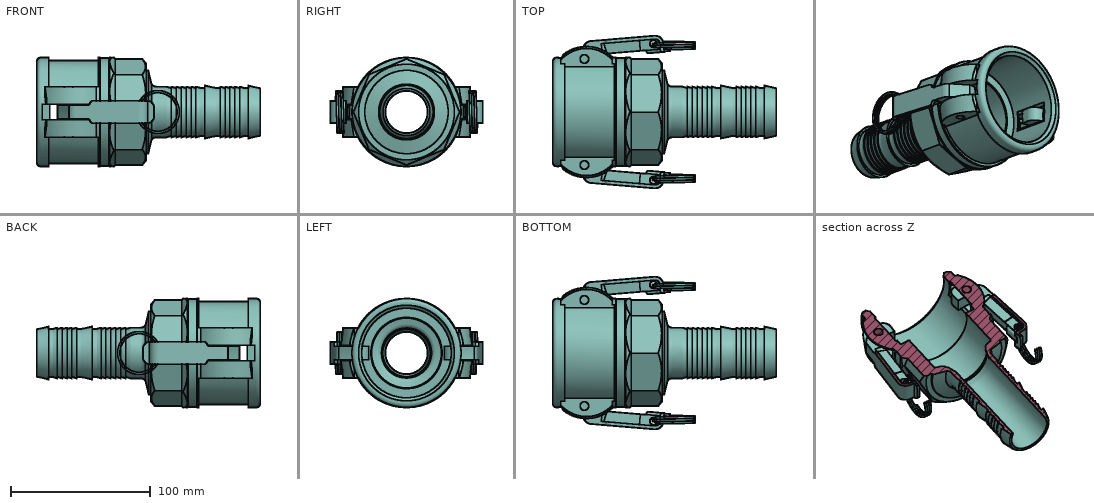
import cadquery as cq
import math


length = 160.0
collar_radius = 39.0
body_radius = 37.0

lip_end = 8.8
lip_round = 3.0
mouth_radius = 34.2
bore_radius = 32.0
bore_depth = 41.6
throat_radius = 25.0
throat_chamfer = 0.56
throat_end = 74.4
funnel_end = 75.7
funnel_radius = 20.5
funnel_round = 4.0
hose_entry = [(78.9, 18.0), (79.7, 17.0), (83.2, 16.0)]
hose_bore_start = 86.4

collar_start = 44.2
groove_start = 45.1
groove_end = 52.2
groove_radius = 38.7
groove_slope = 0.5
octagon_start = 56.3
octagon_end = 78.5
octagon_corner_radius = 38.0
octagon_end_chamfer = 3.0
octagon_end_radius = 34.2

flange_radius = 29.84
flange_end = 79.8
neck_start = 82.2
neck_radius = 20.0
neck_end = 85.5
neck_round = 3.8
shank_radius = 18.2
root_radius = 17.3
hose_bore_radius = 15.0
small_barb_pitch = 3.5
small_barb_length = 3.0
small_barb_groups = [(92.8, 7), (131.2, 5)]
large_barb_radius = 19.0
mid_barb_start = 120.2
mid_barb_end = 128.5
tip_barb_start = 151.4
tip_barb_end = 159.0
tip_radius = 16.8

ear_half_height = 18.0
ear_start = 6.0
ear_end = 42.5
ear_cut_y = 37.5
ear_cut_end = (7.2, 40.2)
ear_center_y = 20.3
ear_peak_y = 47.5
ear_taper = 6.6
slot_half_height = 5.5
slot_start = 4.2
slot_floor_y = 33.0
window_start = 9.5
window_end = 37.3
window_flare = 4.8

pin_x = 22.7
pin_y = 38.0
pin_diameter = 6.0

arm_tilt = 4.8
neck_half_height = 5.0
plate_half_height = 8.0
plate_outer_v = 12.5
plate_thickness = 2.5
widening_start = 14.4
widening_length = 4.2
web_inner_v = 2.4
web_half_outer = 4.2
web_half_inner = 3.5
hole_pad_start_u = 40.3
hole_pad_half_outer = 4.5
hole_pad_half_inner = 3.7
bend_center_u = 51.2
bend_radius = 6.0
nose_start_u = 0.3
nose_v = 9.3
nose_end_u = 5.3
nose_radius = 6.4
cam_left_u = -8.0
cam_right_u = 4.2
cam_inner_v = -10.9
cam_radius = 6.4
cam_top_v = -1.3
thick_end_u = 13.0
thick_slope_end_u = 16.3
tongue_end_u = 61.6
tongue_thickness = 2.0
tongue_corner = 4.8
bead_start_u = 44.5
bead_depth = 2.2
bead_half_width = 3.5
bead_round = 2.0
scallop_radius = 32.0
scallop_depth = 0.4
scallop_overrun = 1.6
ring_hole_diameter = 5.0
ring_hole_u = 50.0
ring_hole_v = 6.64

wire_diameter = 1.6
ring_outer_diameter = 30.7
ring_center_x = 86.7
ring_inner_y = 45.3
ring_pitch = 1.8
ring_turns = 2.7
ring_start_angle = 108.0


def box(x0, x1, y0, y1, z0, z1):
    return cq.Workplane("XY").box(x1 - x0, y1 - y0, z1 - z0, centered=False).translate((x0, y0, z0))


def revolve_about_x(profile):
    return profile.close().revolve(360, (0, 0, 0), (1, 0, 0))


def socket_and_collar():
    profile = (
        cq.Workplane("XY")
        .lineTo(0, collar_radius - lip_round)
        .radiusArc((lip_round, collar_radius), lip_round)
        .lineTo(lip_end, collar_radius)
        .lineTo(lip_end, body_radius)
        .lineTo(collar_start, body_radius)
        .lineTo(collar_start, collar_radius)
        .lineTo(groove_start, collar_radius)
        .lineTo(groove_start + groove_slope, groove_radius)
        .lineTo(groove_end - groove_slope, groove_radius)
        .lineTo(groove_end, collar_radius)
        .lineTo(octagon_start, collar_radius)
        .lineTo(octagon_start, 0)
    )
    return revolve_about_x(profile)


def octagon(start, end, corner_radius, taper=0):
    prism = (
        cq.Workplane("YZ")
        .polygon(8, 2 * corner_radius)
        .extrude(end - start, taper=taper)
    )
    return prism.translate((start, 0, 0))


def octagon_with_chamfers():
    prism = octagon(octagon_start, octagon_end, octagon_corner_radius)
    limit = (
        cq.Workplane("XY")
        .moveTo(octagon_start, 0)
        .lineTo(octagon_start, octagon_corner_radius)
        .lineTo(octagon_end - octagon_end_chamfer, octagon_corner_radius)
        .lineTo(octagon_end, octagon_end_radius)
        .lineTo(octagon_end, 0)
    )
    return prism.intersect(revolve_about_x(limit))


def collar_flats():
    """Octagonal cone that bevels the collar down to the octagon's flats at 45 degrees."""
    mouth_corner_radius = octagon_corner_radius + octagon_start / math.cos(math.pi / 8)
    return octagon(0, octagon_start, mouth_corner_radius, taper=45)


def hose_shank():
    profile = (
        cq.Workplane("XY")
        .moveTo(octagon_end, 0)
        .lineTo(octagon_end, flange_radius)
        .lineTo(flange_end, flange_radius)
        .lineTo(neck_start, neck_radius)
        .radiusArc((neck_end, shank_radius), -neck_round)
    )
    first_start, first_count = small_barb_groups[0]
    second_start, second_count = small_barb_groups[1]
    profile = small_barbs(profile, first_start, first_count)
    profile = profile.lineTo(mid_barb_start, root_radius).lineTo(mid_barb_start, large_barb_radius)
    profile = profile.lineTo(mid_barb_end, root_radius).lineTo(second_start, root_radius)
    profile = small_barbs(profile, second_start, second_count)
    profile = profile.lineTo(tip_barb_start, root_radius).lineTo(tip_barb_start, large_barb_radius)
    profile = profile.lineTo(tip_barb_end, root_radius).lineTo(length, tip_radius).lineTo(length, 0)
    return revolve_about_x(profile)


def small_barbs(profile, start, count):
    for i in range(count):
        x = start + i * small_barb_pitch
        profile = profile.lineTo(x, shank_radius).lineTo(x + small_barb_length, root_radius)
        if i < count - 1:
            profile = profile.lineTo(x + small_barb_pitch, root_radius)
    return profile


def inner_passage():
    profile = (
        cq.Workplane("XY")
        .lineTo(0, mouth_radius)
        .lineTo(mouth_radius - bore_radius, bore_radius)
        .lineTo(bore_depth, bore_radius)
        .lineTo(bore_depth, throat_radius + throat_chamfer)
        .lineTo(bore_depth + throat_chamfer, throat_radius)
        .lineTo(throat_end, throat_radius)
        .lineTo(funnel_end, funnel_radius)
        .radiusArc(hose_entry[0], -funnel_round)
        .lineTo(*hose_entry[1])
        .lineTo(*hose_entry[2])
        .lineTo(hose_bore_start, hose_bore_radius)
        .lineTo(length, hose_bore_radius)
        .lineTo(length, 0)
    )
    return revolve_about_x(profile)


def ear_pair():
    """Both ears on the +Y side before slotting: a disc tapering away from mid height."""
    center_x = (ear_start + ear_end) / 2
    disc_radius = ear_peak_y - ear_center_y
    upper = cq.Workplane("XY").circle(disc_radius).extrude(ear_half_height, taper=ear_taper)
    disc = upper.union(upper.mirror("XY")).translate((center_x, ear_center_y, 0))
    outline = (
        cq.Workplane("XY")
        .polyline([
            (ear_start, 0),
            (ear_start, ear_cut_y),
            ear_cut_end,
            (ear_cut_end[0], ear_peak_y),
            (ear_end, ear_peak_y),
            (ear_end, 0),
        ])
        .close()
        .extrude(ear_half_height, both=True)
    )
    ear = disc.intersect(outline)
    pad = cq.Workplane("YZ").circle(collar_radius).extrude(collar_start - lip_end).translate((lip_end, 0, 0))
    pad = pad.intersect(box(0, collar_start, 0, collar_radius, -ear_half_height, ear_half_height))
    return ear.union(pad)


def arm_opening():
    """Slot between the ears, the flared window into the bore and the pin hole, on the +Y side."""
    slot = box(slot_start, ear_end, slot_floor_y, ear_peak_y + 1.6, -slot_half_height, slot_half_height)
    inner_y = slot_floor_y - window_flare
    inner_half = slot_half_height + window_flare
    window = (
        cq.Workplane("YZ")
        .polyline([
            (slot_floor_y, -slot_half_height),
            (slot_floor_y, slot_half_height),
            (inner_y, inner_half),
            (inner_y, -inner_half),
        ])
        .close()
        .extrude(window_end - window_start)
        .translate((window_start, 0, 0))
    )
    hole = (
        cq.Workplane("XY")
        .center(pin_x, pin_y)
        .circle(pin_diameter / 2)
        .extrude(ear_half_height, both=True)
    )
    return slot.union(window).union(hole)


def half_turn(shape):
    return shape.rotate((0, 0, 0), (1, 0, 0), 180)


def make_coupler():
    body = socket_and_collar().intersect(collar_flats())
    body = body.union(octagon_with_chamfers()).union(hose_shank())
    ears = ear_pair()
    opening = arm_opening()
    body = body.union(ears).union(half_turn(ears))
    return body.cut(inner_passage()).cut(opening).cut(half_turn(opening))


def arm_plate():
    """Outer plate of the arm, bent inward at the free end, widening from the neck."""
    inner_bend = bend_radius - plate_thickness
    bend_v = plate_outer_v - bend_radius
    bend_outer_u = bend_center_u + bend_radius
    plate_end_v = web_inner_v - tongue_thickness
    strip = (
        cq.Workplane("XY")
        .moveTo(nose_end_u, plate_outer_v)
        .lineTo(bend_center_u, plate_outer_v)
        .radiusArc((bend_outer_u, bend_v), bend_radius)
        .lineTo(bend_outer_u, plate_end_v)
        .lineTo(bend_outer_u - plate_thickness, plate_end_v)
        .lineTo(bend_outer_u - plate_thickness, bend_v)
        .radiusArc((bend_center_u, bend_v + inner_bend), -inner_bend)
        .lineTo(nose_end_u, plate_outer_v - plate_thickness)
        .close()
        .extrude(plate_half_height, both=True)
    )
    mid_u = widening_start + widening_length / 2
    mid_z = (neck_half_height + plate_half_height) / 2
    upper_half = (
        cq.Workplane("XZ")
        .lineTo(0, neck_half_height)
        .lineTo(widening_start, neck_half_height)
        .tangentArcPoint((mid_u, mid_z), relative=False)
        .tangentArcPoint((widening_start + widening_length, plate_half_height), relative=False)
        .lineTo(bend_outer_u, plate_half_height)
        .lineTo(bend_outer_u, 0)
        .close()
        .extrude(-plate_outer_v)
    )
    return strip.intersect(upper_half.union(upper_half.mirror("XY")))


def arm_web(start_u, half_inner, half_outer):
    """Rib under the plate up to the bend, thinning toward its inner edge."""
    outer_v = plate_outer_v - plate_thickness
    end_u = bend_center_u + bend_radius - plate_thickness
    section = [
        (web_inner_v, -half_inner),
        (web_inner_v, half_inner),
        (outer_v, half_outer),
        (outer_v, -half_outer),
    ]
    return cq.Workplane("YZ").polyline(section).close().extrude(end_u - start_u).translate((start_u, 0, 0))


def arm_neck_and_cam():
    """Thick part of the arm: cam lobe around the pivot and the neck up to the plate."""
    outline = (
        cq.Workplane("XY")
        .moveTo(cam_left_u, cam_top_v)
        .lineTo(nose_start_u, nose_v)
        .radiusArc((nose_end_u, plate_outer_v), nose_radius)
        .lineTo(thick_slope_end_u, plate_outer_v)
        .lineTo(thick_slope_end_u, web_inner_v)
        .lineTo(cam_right_u, web_inner_v)
        .lineTo(cam_right_u, cam_inner_v)
        .lineTo(cam_left_u + cam_radius, cam_inner_v)
        .radiusArc((cam_left_u, cam_inner_v + cam_radius), cam_radius)
        .close()
        .extrude(neck_half_height, both=True)
    )
    thickness = (
        cq.Workplane("XZ")
        .polyline([
            (cam_left_u, -neck_half_height),
            (cam_left_u, neck_half_height),
            (thick_end_u, neck_half_height),
            (thick_slope_end_u, web_half_inner),
            (thick_slope_end_u, -web_half_inner),
            (thick_end_u, -neck_half_height),
        ])
        .close()
        .extrude(plate_outer_v - cam_inner_v, both=True)
    )
    return outline.intersect(thickness).cut(face_scallop())


def face_scallop():
    """Shallow trough along the slanted face between the cam and the nose."""
    rise = nose_v - cam_top_v
    run = nose_start_u - cam_left_u
    face_length = math.hypot(rise, run)
    outward = (-rise / face_length, run / face_length)
    offset = scallop_radius - scallop_depth
    plane = cq.Plane(
        origin=(cam_left_u + outward[0] * offset, cam_top_v + outward[1] * offset, 0),
        xDir=(0, 0, 1),
        normal=(run / face_length, rise / face_length, 0),
    )
    return cq.Workplane(plane).circle(scallop_radius).extrude(face_length + scallop_overrun)


def arm_tongue():
    """Finger tongue that turns outward from the bent end of the plate."""
    start_u = bend_center_u + bend_radius - plate_thickness
    tongue = box(
        start_u, tongue_end_u,
        web_inner_v - tongue_thickness, web_inner_v,
        -plate_half_height, plate_half_height,
    )
    return tongue.edges("|Y and >X").fillet(tongue_corner)


def arm_bead():
    """Rounded bead along the inner edge of the web, next to the tongue."""
    bead = box(
        bead_start_u, bend_center_u + bend_radius,
        web_inner_v - bead_depth, web_inner_v,
        -bead_half_width, bead_half_width,
    )
    return bead.faces("<Y").edges("|X or <X").fillet(bead_round)


def pivot_pin():
    return cq.Workplane("XY").circle(pin_diameter / 2).extrude(ear_half_height, both=True)


def pull_ring():
    coil_radius = (ring_outer_diameter - wire_diameter) / 2
    height = ring_pitch * ring_turns
    path = cq.Wire.makeHelix(ring_pitch, height, coil_radius)
    coil = (
        cq.Workplane("XZ", origin=(coil_radius, 0, 0))
        .circle(wire_diameter / 2)
        .sweep(cq.Workplane(path), isFrenet=True)
    )
    coil = coil.rotate((0, 0, 0), (1, 0, 0), -90).rotate((0, 0, 0), (0, 1, 0), -ring_start_angle)
    return coil.translate((ring_center_x, ring_inner_y, 0))


def make_arm():
    arm = arm_neck_and_cam().union(arm_plate())
    arm = arm.union(arm_web(cam_right_u, web_half_inner, web_half_outer))
    arm = arm.union(arm_web(hole_pad_start_u, hole_pad_half_inner, hole_pad_half_outer))
    arm = arm.union(arm_tongue()).union(arm_bead())
    ring_hole = (
        cq.Workplane("XY")
        .center(ring_hole_u, ring_hole_v)
        .circle(ring_hole_diameter / 2)
        .extrude(plate_half_height, both=True)
    )
    arm = arm.cut(ring_hole).union(pivot_pin())
    arm = arm.rotate((0, 0, 0), (0, 0, 1), arm_tilt).translate((pin_x, pin_y, 0))
    return arm.union(pull_ring())


coupler = make_coupler()
first_arm = make_arm()
arms = [first_arm, half_turn(first_arm)]

result = cq.Compound.makeCompound([coupler.solids().val()] + [arm.solids().val() for arm in arms])